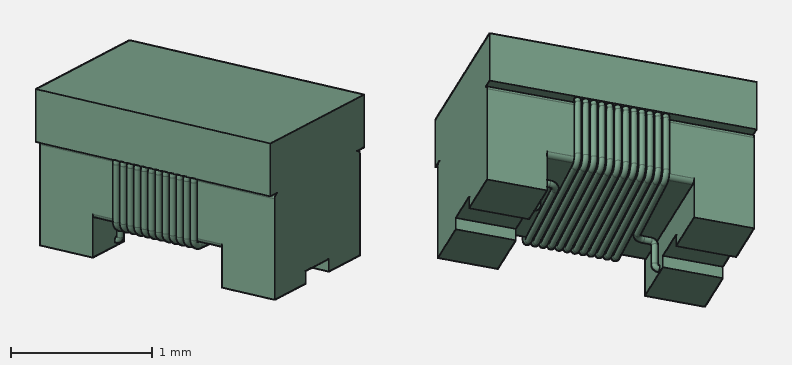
import cadquery as cq
import math


length = 2.0
width = 1.2
height = 1.2
cap_bottom = 0.8

wire_diameter = 0.05
wire_radius = wire_diameter / 2
clearance = 0.005
turn_count = 12
turn_pitch = 0.06
coil_bend_radius = 0.065

core_width = width - 2 * (wire_diameter + clearance)
core_edge_radius = coil_bend_radius - wire_radius - clearance
waist_length = 1.1
waist_side_bottom = 0.33
waist_bottom = waist_side_bottom - core_edge_radius
foot_slot_width = 0.292
foot_slot_height = 0.095

coil_side_y = width / 2 - wire_radius
coil_bottom_z = waist_bottom - clearance - wire_radius
coil_top_z = cap_bottom + clearance + wire_radius
first_turn_x = -turn_pitch * (turn_count - 1) / 2
top_end_y = coil_side_y - 2 * coil_bend_radius

lead_bend_radius = 0.03
lead_y = -0.24
lead_x = -(waist_length / 2 - clearance - wire_radius)
lead_foot_z = 0.045
lead_end_x = -waist_length / 2 - wire_radius


def make_core():
    """Drum core: a block with rounded top edges, a narrower waist and slotted feet."""
    block = (
        cq.Workplane("XY")
        .box(length, core_width, cap_bottom, centered=(True, True, False))
        .edges("|X and >Z")
        .fillet(core_edge_radius)
    )
    opening = cq.Workplane("XY").box(
        waist_length, core_width, cap_bottom, centered=(True, True, False)
    )
    waist = (
        cq.Workplane("XY", origin=(0, 0, waist_bottom))
        .box(waist_length, core_width, cap_bottom - waist_bottom, centered=(True, True, False))
        .edges("|X")
        .fillet(core_edge_radius)
    )
    foot_slot = cq.Workplane("XY").box(
        length, foot_slot_width, foot_slot_height, centered=(True, True, False)
    )
    return block.cut(opening).union(waist).cut(foot_slot)


def make_cap():
    """Flat rectangular cap on top of the core."""
    return cq.Workplane("XY", origin=(0, 0, cap_bottom)).box(
        length, width, height - cap_bottom, centered=(True, True, False)
    )


def bent_wire(corners, bend_radii):
    """Round wire through the corner points, with one bend radius per inner corner."""
    points = [cq.Vector(*corner) for corner in corners]
    edges = []
    start = points[0]
    for before, corner, after, radius in zip(points, points[1:], points[2:], bend_radii):
        to_before = (before - corner).normalized()
        to_after = (after - corner).normalized()
        half_angle = to_before.getAngle(to_after) / 2
        setback = radius / math.tan(half_angle)
        bend_depth = radius / math.sin(half_angle) - radius
        bend_start = corner + to_before * setback
        bend_middle = corner + (to_before + to_after).normalized() * bend_depth
        bend_end = corner + to_after * setback
        edges.append(cq.Edge.makeLine(start, bend_start))
        edges.append(cq.Edge.makeThreePointArc(bend_start, bend_middle, bend_end))
        start = bend_end
    edges.append(cq.Edge.makeLine(start, points[-1]))
    path = cq.Workplane(cq.Wire.assembleEdges(edges))
    section = cq.Plane(origin=points[0], normal=points[1] - points[0])
    return cq.Workplane(section).circle(wire_radius).sweep(path)


def make_turn(front_x):
    """One pass: down the front, slanting under the waist by one pitch, up the back."""
    back_x = front_x + turn_pitch
    corners = [
        (front_x, -top_end_y, coil_top_z),
        (front_x, -coil_side_y, coil_top_z),
        (front_x, -coil_side_y, coil_bottom_z),
        (back_x, coil_side_y, coil_bottom_z),
        (back_x, coil_side_y, coil_top_z),
        (back_x, top_end_y, coil_top_z),
    ]
    return bent_wire(corners, [coil_bend_radius] * 4)


def make_lead():
    """Left lead: out of the foot, up to the waist and into the first rise at the back."""
    slant = turn_pitch / (2 * coil_side_y)
    join_x = first_turn_x - slant * (coil_side_y - lead_y)
    corners = [
        (lead_end_x, lead_y, lead_foot_z),
        (lead_x, lead_y, lead_foot_z),
        (lead_x, lead_y, coil_bottom_z),
        (join_x, lead_y, coil_bottom_z),
        (first_turn_x, coil_side_y, coil_bottom_z),
        (first_turn_x, coil_side_y, coil_top_z),
        (first_turn_x, top_end_y, coil_top_z),
    ]
    return bent_wire(corners, [lead_bend_radius] * 2 + [coil_bend_radius] * 3)


result = make_core().union(make_cap())
for turn in range(turn_count - 1):
    result = result.union(make_turn(first_turn_x + turn * turn_pitch))

left_lead = make_lead()
right_lead = left_lead.rotate((0, 0, 0), (0, 0, 1), 180)
result = result.union(left_lead).union(right_lead)